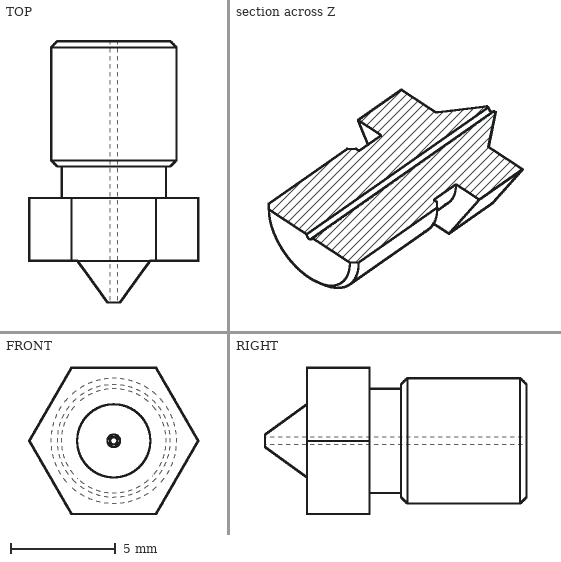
import cadquery as cq
import math

hex_across_flats = 7.0
hex_length = 3.0

cone_base_diameter = 3.5
tip_diameter = 0.6
cone_length = 2.0

neck_diameter = 5.0
neck_length = 1.5

shank_diameter = 6.0
shank_length = 6.0
shank_chamfer = 0.3

orifice_diameter = 0.35

hex_across_corners = hex_across_flats / math.cos(math.pi / 6)
total_length = cone_length + hex_length + neck_length + shank_length

hex_start = cone_length
neck_start = hex_start + hex_length
shank_start = neck_start + neck_length


def plane_at(y):
    """Plane across the axis at station y, with its normal toward +Y and local x along X."""
    return cq.Workplane(cq.Plane(origin=(0, y, 0), xDir=(1, 0, 0), normal=(0, 1, 0)))


def make_tip():
    """Truncated cone that narrows toward -Y."""
    return cq.Workplane("XY").add(
        cq.Solid.makeCone(
            tip_diameter / 2,
            cone_base_diameter / 2,
            cone_length,
            pnt=cq.Vector(0, 0, 0),
            dir=cq.Vector(0, 1, 0),
        )
    )


def make_hex():
    """Wrench hexagon with corners on the X axis and flats facing +Z and -Z."""
    return plane_at(hex_start).polygon(6, hex_across_corners).extrude(hex_length)


def make_neck():
    """Relief neck between the hexagon and the shank."""
    return plane_at(neck_start).circle(neck_diameter / 2).extrude(neck_length)


def make_shank():
    """Cylindrical shank, chamfered at both ends."""
    shank = plane_at(shank_start).circle(shank_diameter / 2).extrude(shank_length)
    return shank.faces("<Y or >Y").chamfer(shank_chamfer)


def make_orifice():
    """Cutter for the orifice through the full length."""
    return plane_at(0).circle(orifice_diameter / 2).extrude(total_length)


body = make_hex().union(make_tip()).union(make_neck()).union(make_shank())
result = body.cut(make_orifice())